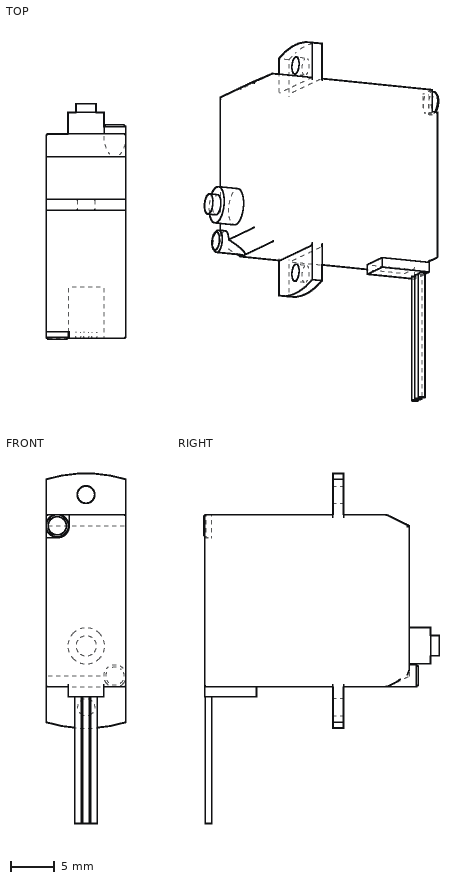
import cadquery as cq

overall_height = 40.6

width = 9.25
case_height = 20.0
case_length = 23.72
slant_length = 2.65
slant_drop = 1.3
edge_radius = 0.3

flange_height = 29.57
flange_rear = 14.85
flange_thickness = 1.25
flange_crown = 0.7
hole_diameter = 2.0
hole_inset = 2.48

shaft_z = -5.2
boss_radius = 2.1
boss_end = 26.2
spline_radius = 1.18
spline_end = 27.2

screw_radius = 1.3
screw_edge_break = 0.25
screw_x = width / 2 - screw_radius
screw_z = case_height / 2 - screw_radius
rear_screw_projection = 0.12
shaft_side_screw_end = 24.78
pocket_radius = 1.4
pocket_depth = 0.77

outlet_width = 4.15
outlet_length = 6.0
outlet_drop = 1.15
wire_count = 3
wire_diameter = 0.77
wire_pitch = 0.95
wire_y = 0.45


def cylinder_along_y(x, z, radius, y_start, y_end):
    axis_start = cq.Vector(x, y_start, z)
    return cq.Workplane(cq.Solid.makeCylinder(radius, y_end - y_start, axis_start, cq.Vector(0, 1, 0)))


def block(x_size, y_size, z_size, x_min, y_min, z_min):
    return cq.Workplane().box(x_size, y_size, z_size, centered=False).translate((x_min, y_min, z_min))


def make_case():
    """Rounded box whose top and bottom slope in towards the shaft face."""
    half_height = case_height / 2
    slant_start = case_length - slant_length
    profile = [
        (0, -half_height),
        (slant_start, -half_height),
        (case_length, -half_height + slant_drop),
        (case_length, half_height - slant_drop),
        (slant_start, half_height),
        (0, half_height),
    ]
    case = cq.Workplane("YZ").polyline(profile).close().extrude(width / 2, both=True)
    return case.edges("#X or (|X and <Y)").fillet(edge_radius)


def make_flange():
    """Plate through the case with arched ends and a mounting hole at each end."""
    half_width = width / 2
    peak = flange_height / 2
    shoulder = peak - flange_crown
    plate = (
        cq.Workplane("XZ", origin=(0, flange_rear, 0))
        .moveTo(-half_width, -shoulder)
        .lineTo(-half_width, shoulder)
        .threePointArc((0, peak), (half_width, shoulder))
        .lineTo(half_width, -shoulder)
        .threePointArc((0, -peak), (-half_width, -shoulder))
        .close()
        .extrude(-flange_thickness)
    )
    hole_z = peak - hole_inset
    for z in (-hole_z, hole_z):
        plate = plate.cut(
            cylinder_along_y(0, z, hole_diameter / 2, flange_rear, flange_rear + flange_thickness)
        )
    return plate


def make_shaft():
    boss = cylinder_along_y(0, shaft_z, boss_radius, case_length - edge_radius, boss_end)
    spline = cylinder_along_y(0, shaft_z, spline_radius, case_length, spline_end)
    return boss.union(spline)


def make_rear_pocket():
    """Screw recess: round on the inner side, open to the top and the -X side."""
    recess = cylinder_along_y(-screw_x, screw_z, pocket_radius, 0, pocket_depth)
    side_opening = block(
        screw_radius, pocket_depth, screw_radius + pocket_radius,
        -width / 2, 0, screw_z - pocket_radius,
    )
    top_opening = block(
        screw_radius + pocket_radius, pocket_depth, screw_radius,
        -width / 2, 0, screw_z,
    )
    return recess.union(side_opening).union(top_opening)


def make_rear_screw():
    screw = cylinder_along_y(-screw_x, screw_z, screw_radius, -rear_screw_projection, pocket_depth)
    return screw.faces("<Y").chamfer(screw_edge_break)


def make_shaft_side_screw():
    screw = cylinder_along_y(
        screw_x, -screw_z, screw_radius, case_length - slant_length, shaft_side_screw_end
    )
    return screw.faces(">Y").chamfer(screw_edge_break)


def make_cable_outlet():
    """Block below the rear edge, reaching up past the rounded edge to the flat rear face."""
    outlet_bottom = -case_height / 2 - outlet_drop
    return block(
        outlet_width, outlet_length, outlet_drop + edge_radius,
        -outlet_width / 2, 0, outlet_bottom,
    )


def make_wires():
    wire_top = -case_height / 2 - outlet_drop
    wire_bottom = flange_height / 2 - overall_height
    first_x = -wire_pitch * (wire_count - 1) / 2
    centres = [(first_x + i * wire_pitch, wire_y) for i in range(wire_count)]
    return (
        cq.Workplane("XY", origin=(0, 0, wire_bottom))
        .pushPoints(centres)
        .circle(wire_diameter / 2)
        .extrude(wire_top - wire_bottom)
    )


result = (
    make_case()
    .cut(make_rear_pocket())
    .union(make_flange())
    .union(make_shaft())
    .union(make_rear_screw())
    .union(make_shaft_side_screw())
    .union(make_cable_outlet())
    .union(make_wires())
)